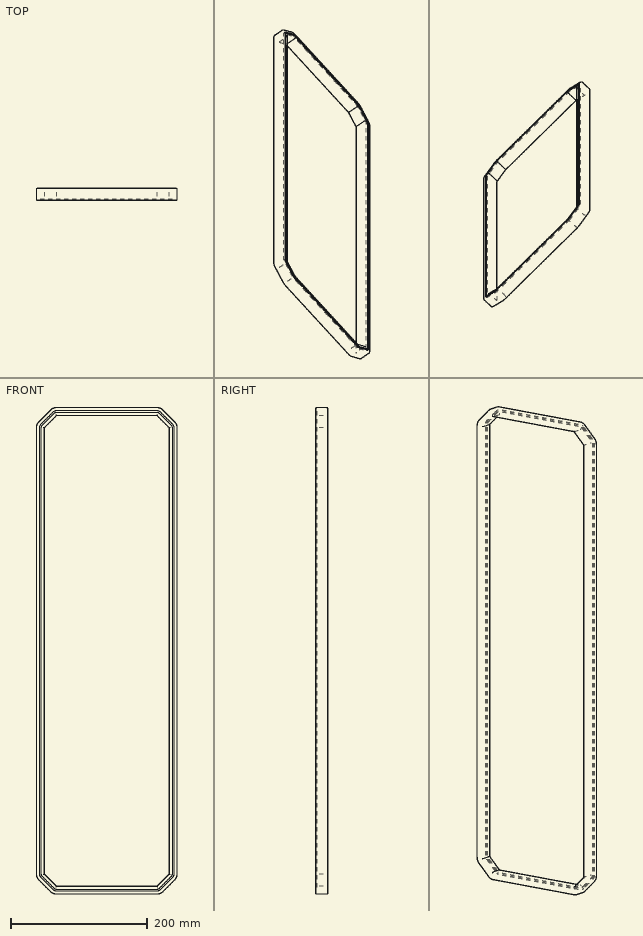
import cadquery as cq
import math

frame_width = 207.0
frame_depth = 18.0
frame_height = 715.0

bar_width = 12.0
edge_radius = 2.0

groove_width = 2.5
groove_depth = 2.0

corner_face_length = 25.0

opening_width = frame_width - 2 * bar_width
opening_height = frame_height - 2 * bar_width
corner_cut = corner_face_length / math.sqrt(2)

front_y = -frame_depth / 2


def make_opening():
    """Rectangular opening with cut corners, running through the full depth."""
    block = cq.Workplane("XZ").rect(opening_width, opening_height).extrude(frame_depth / 2, both=True)
    return block.edges("|Y").chamfer(corner_cut)


def plate_around_opening(margin, depth):
    """Plate behind the front face, a margin larger than the opening and rounded about its corners."""
    outline = cq.Workplane("XZ", origin=(0, front_y, 0)).add(make_opening().faces("<Y").wires())
    return outline.toPending().offset2D(margin).extrude(-depth)


def make_frame():
    """Bar of constant width around the opening, with rounded front and back edges."""
    frame = plate_around_opening(bar_width, frame_depth).cut(make_opening())
    return frame.faces("<Y or >Y").edges().fillet(edge_radius)


def make_groove():
    """Ring that follows the middle of the bar."""
    inner_margin = (bar_width - groove_width) / 2
    outer_margin = inner_margin + groove_width
    ring = plate_around_opening(outer_margin, groove_depth)
    return ring.cut(plate_around_opening(inner_margin, groove_depth))


result = make_frame().cut(make_groove())